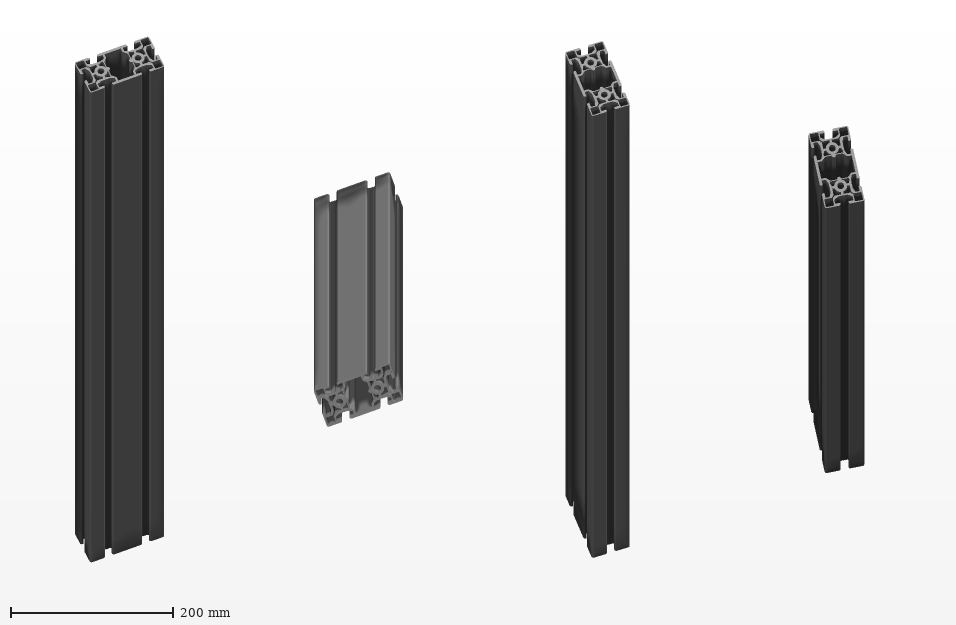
import cadquery as cq

CELL = 50.0
LENGTH = 1000.0
HALF = CELL / 2
OUTER_CORNER_RADIUS = 2.5
OUTER_WALL = 3.5
WALL_INNER = HALF - OUTER_WALL

SLOT_HALF_OPENING = 5.0
LIP_CHAMFER = 1.5
SLOT_UNDERCUT = 6.5
SLOT_UNDERCUT_DEPTH = 5.0
SLOT_HALF_WIDTH = SLOT_HALF_OPENING + SLOT_UNDERCUT
SLOT_SHOULDER = WALL_INNER - SLOT_UNDERCUT_DEPTH
FLOOR_HALF_WIDTH = 6.0
END_FLOOR_DISTANCE = 13.0
SIDE_FLOOR_DISTANCE = 14.0
GROOVE_SIZE = 0.6

BORE_RADIUS = 4.2
TUBE_RADIUS = 8.0
SPOKE_HALF_THICKNESS = 1.5
CORE_CAVITY_HALF = 11.0
INNER_CAVITY_DEPTH = 8.0
INNER_FLARE = 1.2
FLARED_CAVITY_HALF = CORE_CAVITY_HALF + INNER_FLARE
FLARE_START = 3.0
FLARE_END = 5.0

CORNER_WALL = 1.5
CORNER_OUTER = HALF - CORNER_WALL
CORNER_INNER = 13.0
CORNER_BEVEL = 1.0
NECK_OFFSET = 1.0

CORE_BASE = 9.2
CORE_BASE_HALF_WIDTH = 11.0
WEB_BASE = 14.0
WEB_BEND = 16.0
RIB_TIP = 12.0
RIB_TIP_HALF_WIDTH = 1.0
RIB_BASE_HALF_WIDTH = 3.0


def prism(points):
    return cq.Workplane("XY").polyline(points).close().extrude(LENGTH)


def cylinder(radius):
    return cq.Workplane("XY").circle(radius).extrude(LENGTH)


def mirrored_in_x(points):
    """Close a right-hand outline with its mirror image across X = 0."""
    return points + [(-x, y) for x, y in reversed(points) if x > 0]


def mirrored_in_diagonal(points):
    """Continue an outline with its mirror image across the line X = Y."""
    return points + [(y, x) for x, y in reversed(points) if x != y]


def t_slot(floor_distance):
    """T-slot opening towards +Y, with a fine marking groove along its floor."""
    right_half = [
        (0, floor_distance - GROOVE_SIZE),
        (GROOVE_SIZE, floor_distance),
        (FLOOR_HALF_WIDTH, floor_distance),
        (SLOT_HALF_WIDTH, SLOT_SHOULDER),
        (SLOT_HALF_WIDTH, WALL_INNER),
        (SLOT_HALF_OPENING, WALL_INNER),
        (SLOT_HALF_OPENING, HALF - LIP_CHAMFER),
        (SLOT_HALF_OPENING + LIP_CHAMFER, HALF),
    ]
    return prism(mirrored_in_x(right_half))


def outer_core_cavity():
    """Core cavity on the end-face side, including the hollow corner of the cell."""
    core = prism(
        mirrored_in_diagonal(
            [
                (SPOKE_HALF_THICKNESS, SPOKE_HALF_THICKNESS),
                (SPOKE_HALF_THICKNESS, CORE_CAVITY_HALF),
                (CORE_CAVITY_HALF, CORE_CAVITY_HALF),
            ]
        )
    )
    corner = prism(
        mirrored_in_diagonal(
            [
                (CORNER_OUTER, CORNER_OUTER),
                (CORNER_INNER + CORNER_BEVEL, CORNER_OUTER),
                (CORNER_INNER, CORNER_OUTER - CORNER_BEVEL),
                (CORNER_INNER, CORNER_INNER + NECK_OFFSET),
                (CORE_CAVITY_HALF - NECK_OFFSET, CORE_CAVITY_HALF),
            ]
        )
    )
    return core.cut(cylinder(TUBE_RADIUS)).union(corner)


def inner_core_cavity():
    """Core cavity on the side of the central chamber, flared towards its corner."""
    outline = [
        (SPOKE_HALF_THICKNESS, -SPOKE_HALF_THICKNESS),
        (SPOKE_HALF_THICKNESS, -INNER_CAVITY_DEPTH),
        (FLARED_CAVITY_HALF, -INNER_CAVITY_DEPTH),
        (FLARED_CAVITY_HALF, -FLARE_END),
        (CORE_CAVITY_HALF, -FLARE_START),
        (CORE_CAVITY_HALF, -SPOKE_HALF_THICKNESS),
    ]
    return prism(outline).cut(cylinder(TUBE_RADIUS))


def half_chamber():
    """Half of the central chamber, with a small rib under the core."""
    right_half = [
        (RIB_TIP_HALF_WIDTH, -RIB_TIP),
        (RIB_BASE_HALF_WIDTH, -CORE_BASE),
        (CORE_BASE_HALF_WIDTH, -CORE_BASE),
        (WEB_BEND, -WEB_BASE),
        (WALL_INNER, -WEB_BASE),
        (WALL_INNER, -HALF),
    ]
    return prism(mirrored_in_x(right_half))


def cell_voids():
    """Everything removed from one cell, centered on the cell."""
    voids = t_slot(END_FLOOR_DISTANCE).union(half_chamber()).union(cylinder(BORE_RADIUS))
    for angle in (90, -90):
        voids = voids.union(t_slot(SIDE_FLOOR_DISTANCE).rotate((0, 0, 0), (0, 0, 1), angle))
    for cavity in (outer_core_cavity(), inner_core_cavity()):
        voids = voids.union(cavity).union(cavity.mirror("YZ"))
    return voids


bar = cq.Workplane("XY").rect(CELL, 2 * CELL).extrude(LENGTH)
bar = bar.edges("|Z").fillet(OUTER_CORNER_RADIUS)

upper_voids = cell_voids().translate((0, HALF, 0))
result = bar.cut(upper_voids).cut(upper_voids.mirror("XZ"))